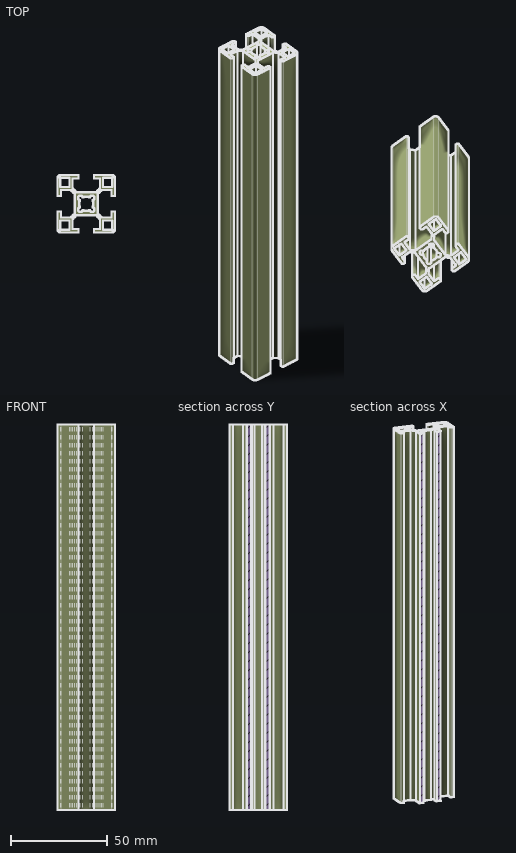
import cadquery as cq
import math

side = 30.0
length = 200.0
corner_radius = 2.0

slot_opening = 7.8
lip_thickness = 2.0
lip_edge_radius = 0.5
cavity_width = 14.2

core_width = 12.0
web_thickness = 1.3

corner_wall = 1.6
hollow_width = 4.6

bore_diameter = 7.3
relief_diameter = 2.4
relief_offset = 3.05

half_side = side / 2
quarter_turns = (0, 90, 180, 270)
selection_margin = 0.1


def turned(body, angle):
    """Turn a body about the axis of the extrusion."""
    return body.rotate((0, 0, 0), (0, 0, 1), angle)


def four_corners(offset):
    """Workplane with one point on each diagonal, at the given X and Y offset."""
    spacing = 2 * offset
    return cq.Workplane("XY").rect(spacing, spacing, forConstruction=True).vertices()


def outer_block():
    block = cq.Workplane("XY").rect(side, side).extrude(length)
    return block.edges("|Z").fillet(corner_radius)


def slot_cutter():
    """T-shaped slot open towards +X, its back corners sloped along the diagonal webs."""
    mouth_y = slot_opening / 2
    cavity_y = cavity_width / 2
    lip_x = half_side - lip_thickness
    core_x = core_width / 2
    web_shift = web_thickness / math.sqrt(2)
    upper_half = [
        (half_side, mouth_y),
        (lip_x, mouth_y),
        (lip_x, cavity_y),
        (cavity_y + web_shift, cavity_y),
        (core_x, core_x - web_shift),
    ]
    lower_half = [(x, -y) for x, y in reversed(upper_half)]
    return cq.Workplane("XY").polyline(upper_half + lower_half).close().extrude(length)


def corner_hollows():
    center = half_side - corner_wall - hollow_width / 2
    return four_corners(center).rect(hollow_width, hollow_width).extrude(length)


def core_bore():
    bore = cq.Workplane("XY").circle(bore_diameter / 2).extrude(length)
    reliefs = four_corners(relief_offset).circle(relief_diameter / 2).extrude(length)
    return bore.union(reliefs)


def round_lip_edges(profile):
    """Round the outer and inner edges of the lips beside the slot on the +X side."""
    reach = slot_opening / 2 + selection_margin
    mouth = cq.selectors.BoxSelector(
        (half_side - lip_thickness - selection_margin, -reach, 0),
        (half_side + selection_margin, reach, length),
    )
    return profile.edges("|Z").edges(mouth).fillet(lip_edge_radius)


result = outer_block()
for angle in quarter_turns:
    result = result.cut(turned(slot_cutter(), angle))
result = result.cut(corner_hollows())
result = result.cut(core_bore())
for angle in quarter_turns:
    result = turned(round_lip_edges(turned(result, -angle)), angle)